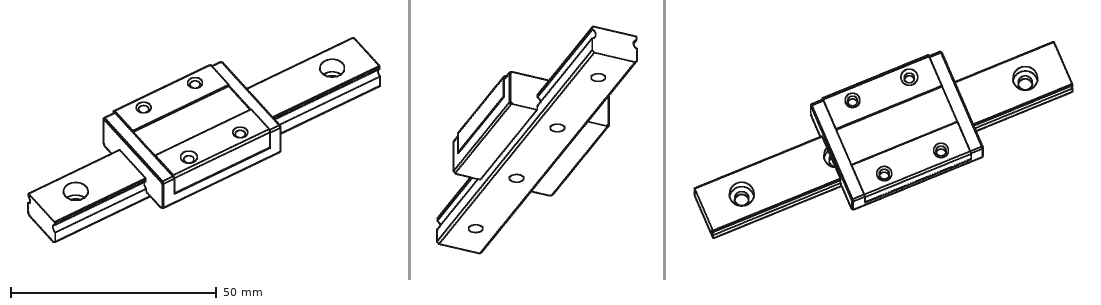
import cadquery as cq
import math

rail_length = 95.0
rail_height = 7.5
rail_half_width = 6.0
rail_head_half_width = 5.9
rail_bottom_chamfer = 0.6
rail_top_chamfer = 0.2
race_bottom_z = 4.0
race_top_z = 6.6
race_depth = 0.9

rail_hole_count = 4
rail_hole_pitch = 25.0
rail_hole_diameter = 3.5
rail_counterbore_diameter = 6.0
rail_counterbore_depth = 4.5

carriage_y = -3.5
body_length = 34.7
body_width = 26.5
body_bottom_z = 2.9
body_top_z = 12.4
body_chamfer = 0.5
body_end_chamfer = 0.3

block_length = 28.0
block_width = 27.0
block_bottom_z = 6.8
block_top_z = 13.0
block_chamfer = 0.6

relief_floor_width = 9.5
relief_top_width = 9.9
relief_depth = 0.3

tap_spacing_x = 19.95
tap_spacing_y = 15.0
tap_diameter = 2.5
tap_depth = 3.5
tap_tip_angle = 118.0
countersink_diameter = 3.6
large_countersink_diameter = 4.1


def extrude_along_y(profile, length, centre_y):
    """Extrude an XZ profile along Y, symmetric about centre_y."""
    return profile.extrude(length / 2, both=True).translate((0, centre_y, 0))


def make_rail():
    race_mid_z = (race_bottom_z + race_top_z) / 2
    race_mid_x = rail_head_half_width - race_depth
    half_profile = (
        cq.Workplane("XZ")
        .moveTo(0, 0)
        .lineTo(rail_half_width - rail_bottom_chamfer, 0)
        .lineTo(rail_half_width, rail_bottom_chamfer)
        .lineTo(rail_half_width, race_bottom_z)
        .threePointArc((race_mid_x, race_mid_z), (rail_head_half_width, race_top_z))
        .lineTo(rail_head_half_width, rail_height - rail_top_chamfer)
        .lineTo(rail_head_half_width - rail_top_chamfer, rail_height)
        .lineTo(0, rail_height)
        .mirrorY()
    )
    return extrude_along_y(half_profile, rail_length, 0)


def drill_rail_holes(rail):
    return (
        rail.faces(">Z")
        .workplane(origin=(0, 0, 0))
        .rarray(0.95, rail_hole_pitch, 1, rail_hole_count)
        .cboreHole(rail_hole_diameter, rail_counterbore_diameter, rail_counterbore_depth)
    )


def make_body():
    height = body_top_z - body_bottom_z
    body = cq.Workplane("XY", origin=(0, carriage_y, body_bottom_z)).box(
        body_width, body_length, height, centered=(True, True, False)
    )
    body = body.edges("|Y").chamfer(body_chamfer)
    end_rims = body.faces("<Y or >Y").edges("not(<Z)")
    return end_rims.chamfer(body_end_chamfer)


def make_block():
    height = block_top_z - block_bottom_z
    block = cq.Workplane("XY", origin=(0, carriage_y, block_bottom_z)).box(
        block_width, block_length, height, centered=(True, True, False)
    )
    return block.edges("|Y and >Z").chamfer(block_chamfer)


def make_relief():
    floor_z = block_top_z - relief_depth
    corners = [
        (-relief_floor_width / 2, floor_z),
        (relief_floor_width / 2, floor_z),
        (relief_top_width / 2, block_top_z),
        (-relief_top_width / 2, block_top_z),
    ]
    profile = cq.Workplane("XZ").polyline(corners).close()
    return extrude_along_y(profile, block_length, carriage_y)


def make_tap_cutter(mouth_diameter):
    """Drilled hole with a conical tip and a 90 degree countersink, mouth at the origin."""
    drill_radius = tap_diameter / 2
    mouth_radius = mouth_diameter / 2
    countersink_depth = mouth_radius - drill_radius
    tip_length = drill_radius / math.tan(math.radians(tap_tip_angle / 2))
    return (
        cq.Workplane("XZ")
        .moveTo(0, 0)
        .lineTo(mouth_radius, 0)
        .lineTo(drill_radius, -countersink_depth)
        .lineTo(drill_radius, -tap_depth)
        .lineTo(0, -tap_depth - tip_length)
        .close()
        .revolve(axisStart=(0, 0, 0), axisEnd=(0, 1, 0))
    )


def cut_tapped_holes(part):
    """Four blind holes; the one at +X, -Y has a wider mouth."""
    for side_x in (-1, 1):
        for side_y in (-1, 1):
            is_large = side_x > 0 and side_y < 0
            mouth = large_countersink_diameter if is_large else countersink_diameter
            x = side_x * tap_spacing_x / 2
            y = carriage_y + side_y * tap_spacing_y / 2
            part = part.cut(make_tap_cutter(mouth).translate((x, y, block_top_z)))
    return part


carriage = make_body().union(make_block()).cut(make_relief())
carriage = cut_tapped_holes(carriage)

plain_rail = make_rail()
rail = drill_rail_holes(plain_rail)
result = carriage.cut(plain_rail).union(rail)